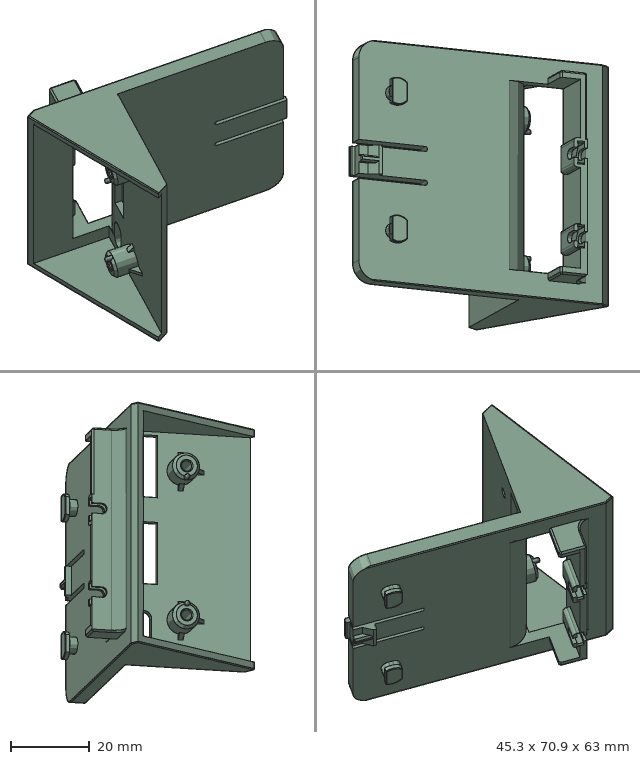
import cadquery as cq
import math

HEIGHT = 63.0
MID_Z = HEIGHT / 2
OVERALL_LENGTH = 70.9

CLEARANCE = 0.7

PLATE_THICKNESS = 4.0
PLATE_END_Y = 69.8
PLATE_CORNER_RADIUS = 4.95
EDGE_CHAMFER = 0.3

SLOPE_ANGLE = math.radians(30)
SLOPE_START_X = 1.3
SLOPE_END_X = 37.1
BACK_OUTER_Y = 23.8
BACK_INNER_Y = 21.9
SIDE_WALL = 2.9
CAP_THICKNESS = 2.0

WINDOW_MARGIN = 6.7
WINDOW_HEIGHT = HEIGHT - 2 * WINDOW_MARGIN
WINDOW_START_Y = 11.85
ENTRY_RADIUS = 6.0

HOOD_REACH = 8.2
HOOD_START_Y = 10.0
HOOD_END_Y = 17.4
HOOD_MARGIN = 4.8
HOOD_FILLET = 3.1
HOOD_CHAMFER = 0.5
TIP_CHAMFER_LENGTH = 17.45

NOTCHES = ((37.1, 7.8), (15.2, 6.45))
NOTCH_WIDTH = 2.7
NOTCH_DEPTH = 3.9
PAD_INNER_Y = 13.75
PAD_RADIUS = 1.05
NUT_WIDTH = 5.2
NUT_MOUTH_FLARE = 0.4
NUT_THICKNESS = 1.85
NUT_START_Y = 10.8

SLOT_X = 6.7
SLOT_WIDTH = 5.25
SLOT_HEIGHT = 16.2
SLOT_BOTTOMS = (43.9, 21.1)
OBLONG_CENTER = (8.4, 9.2)
OBLONG_WIDTH = 3.9
OBLONG_HEIGHT = 9.65

BOSS_X = 18.0
BOSS_MARGIN = 12.0
BOSS_RADIUS = 3.55
BOSS_HEIGHT = 6.45
BOSS_CHAMFER = 0.8
BOSS_BORE = 2.7
BORE_CHAMFER = 0.3
SHORT_RIB_REACH = 1.5
SHORT_RIB_WIDTH = 1.3
LONG_RIB_REACH = 2.55
LONG_RIB_WIDTH = 1.05
PIP_RADIUS = 0.65
PIP_LENGTH = 1.3
PIP_NOSE_RADIUS = 0.5

BUTTON_MARGIN = 13.5
STEM_CENTER_Y = 59.8
STEM_LENGTH = 5.1
STEM_WIDTH = 4.1
STEM_HEIGHT = 2.05
HEAD_CENTER_Y = 60.3
HEAD_RADIUS = 3.55
HEAD_FLAT_FRONT = 2.7
HEAD_FLAT_BACK = 1.7
HEAD_THICKNESS = 1.2
HEAD_CHAMFER = 0.2

LATCH_WIDTH = 7.6
SLIT_WIDTH = 1.3
SLIT_END_Y = 50.8
SLIT_END_RADIUS = 0.6
HOOK_START_Y = 64.0
HOOK_CREST = 0.85
HOOK_HEIGHT = 1.55
RAMP_END_Y = 67.35
LIP_X = 2.55
LATCH_RIB_WIDTH = 1.8
LATCH_RIB_CHAMFER = 0.5


def block(x0, x1, y0, y1, z0, z1):
    """Box given by its limits along each axis."""
    return cq.Workplane("XY").box(x1 - x0, y1 - y0, z1 - z0, centered=False).translate((x0, y0, z0))


def prism(points, z0, z1):
    """XY polygon raised from z0 to z1."""
    return cq.Workplane("XY").workplane(offset=z0).polyline(points).close().extrude(z1 - z0)


def make_body():
    """Side plate and wedge in one outline, hollowed from the sloping side."""
    corner_y = SLOPE_START_X / math.tan(SLOPE_ANGLE)
    slope_end_y = (SLOPE_END_X - SLOPE_START_X) * math.tan(SLOPE_ANGLE)
    back_end_x = SLOPE_END_X - (BACK_OUTER_Y - slope_end_y) * math.tan(SLOPE_ANGLE)
    outline = [
        (0, corner_y),
        (SLOPE_START_X, 0),
        (SLOPE_END_X, slope_end_y),
        (back_end_x, BACK_OUTER_Y),
        (PLATE_THICKNESS, BACK_OUTER_Y),
        (PLATE_THICKNESS, PLATE_END_Y),
        (0, PLATE_END_Y),
    ]
    body = prism(outline, 0, HEIGHT)

    outer_rims = cq.selectors.BoxSelector(
        (-CLEARANCE, -CLEARANCE, -CLEARANCE),
        (SLOPE_END_X - CLEARANCE, slope_end_y - CLEARANCE, HEIGHT + CLEARANCE),
    )
    plate_rims = cq.selectors.BoxSelector(
        (-CLEARANCE, BACK_OUTER_Y, -CLEARANCE),
        (CLEARANCE, PLATE_END_Y - CLEARANCE, HEIGHT + CLEARANCE),
    )
    body = body.edges("#Z").edges(outer_rims + plate_rims).chamfer(EDGE_CHAMFER)

    plate_corners = cq.selectors.BoxSelector(
        (0, PLATE_END_Y - CLEARANCE, -CLEARANCE),
        (PLATE_THICKNESS, PLATE_END_Y + CLEARANCE, HEIGHT + CLEARANCE),
    )
    body = body.edges("|X").edges(plate_corners).fillet(PLATE_CORNER_RADIUS)

    cavity = block(
        SIDE_WALL, SLOPE_END_X + CLEARANCE, -CLEARANCE, BACK_INNER_Y,
        CAP_THICKNESS, HEIGHT - CAP_THICKNESS,
    )
    return body.cut(cavity)


def make_hood():
    """Block with chamfered ends that blends into the plate with a concave fillet."""
    bottom = HOOD_MARGIN
    height = HEIGHT - 2 * HOOD_MARGIN
    hood = (
        cq.Workplane("XY")
        .workplane(offset=bottom)
        .moveTo(0, HOOD_END_Y)
        .lineTo(-HOOD_REACH, HOOD_END_Y)
        .lineTo(-HOOD_REACH, HOOD_START_Y)
        .lineTo(-HOOD_FILLET, HOOD_START_Y)
        .radiusArc((0, HOOD_START_Y - HOOD_FILLET), HOOD_FILLET)
        .lineTo(SIDE_WALL, HOOD_START_Y - HOOD_FILLET)
        .lineTo(SIDE_WALL, HOOD_END_Y)
        .close()
        .extrude(height)
        .edges("|Z and <X and >Y")
        .chamfer(HOOD_CHAMFER)
        .faces("<Z or >Z")
        .chamfer(HOOD_CHAMFER)
    )
    top = bottom + height
    tip_bevel = prism(
        [
            (-HOOD_REACH, HOOD_START_Y),
            (-HOOD_REACH + HOOD_CHAMFER, HOOD_START_Y),
            (-HOOD_REACH, HOOD_START_Y + HOOD_CHAMFER),
        ],
        top - TIP_CHAMFER_LENGTH,
        top,
    )
    return hood.cut(tip_bevel)


def make_window():
    """Opening through the hood and side wall, rounded where it meets the back wall."""
    entry_y = BACK_INNER_Y + ENTRY_RADIUS
    return (
        cq.Workplane("XY")
        .workplane(offset=WINDOW_MARGIN)
        .moveTo(-HOOD_REACH - CLEARANCE, WINDOW_START_Y)
        .lineTo(ENTRY_RADIUS, WINDOW_START_Y)
        .lineTo(ENTRY_RADIUS, BACK_INNER_Y)
        .radiusArc((0, entry_y), ENTRY_RADIUS)
        .lineTo(-HOOD_REACH - CLEARANCE, entry_y)
        .close()
        .extrude(WINDOW_HEIGHT)
    )


def make_pad(center_z, pad_height):
    """Thickening behind a screw notch, rounded along its inner edges."""
    pad = block(
        -HOOD_REACH, 0, HOOD_START_Y + HOOD_CHAMFER, PAD_INNER_Y,
        center_z - pad_height / 2, center_z + pad_height / 2,
    )
    return pad.edges("|X and >Y").fillet(PAD_RADIUS)


def make_notch(center_z):
    """Round-ended screw notch with a pointed slot that holds a hexagon nut."""
    notch_end_x = NOTCH_DEPTH - HOOD_REACH
    notch = (
        cq.Workplane("XZ", origin=(0, HOOD_START_Y - CLEARANCE, center_z))
        .center(notch_end_x - NOTCH_DEPTH, 0)
        .slot2D(2 * NOTCH_DEPTH, NOTCH_WIDTH)
        .extrude(-(PAD_INNER_Y - HOOD_START_Y + 2 * CLEARANCE))
    )
    nut_center_x = notch_end_x - NOTCH_WIDTH / 2
    half = NUT_WIDTH / 2
    shoulder_x = nut_center_x + half * math.tan(math.radians(30))
    point_x = nut_center_x + half / math.cos(math.radians(30))
    nut_slot = (
        cq.Workplane("XZ", origin=(0, NUT_START_Y, center_z))
        .polyline([
            (-HOOD_REACH, -half - NUT_MOUTH_FLARE),
            (-HOOD_REACH + NUT_MOUTH_FLARE, -half),
            (shoulder_x, -half),
            (point_x, 0),
            (shoulder_x, half),
            (-HOOD_REACH + NUT_MOUTH_FLARE, half),
            (-HOOD_REACH, half + NUT_MOUTH_FLARE),
        ])
        .close()
        .extrude(-NUT_THICKNESS)
    )
    return notch.union(nut_slot)


def make_back_openings():
    """Two rectangular slots and one oblong hole through the back wall."""
    y0 = BACK_INNER_Y - CLEARANCE
    y1 = BACK_OUTER_Y + CLEARANCE
    oblong_x, oblong_z = OBLONG_CENTER
    openings = (
        cq.Workplane("XZ", origin=(oblong_x, y0, oblong_z))
        .slot2D(OBLONG_HEIGHT, OBLONG_WIDTH, 90)
        .extrude(-(y1 - y0))
    )
    for bottom in SLOT_BOTTOMS:
        openings = openings.union(block(SLOT_X, SLOT_X + SLOT_WIDTH, y0, y1, bottom, bottom + SLOT_HEIGHT))
    return openings


def make_boss(center_z):
    """Screw boss with two short ribs, one long rib and a round-nosed pip towards mid-height."""
    tip_y = BACK_INNER_Y - BOSS_HEIGHT
    boss = (
        cq.Workplane("XZ", origin=(BOSS_X, BACK_OUTER_Y, center_z))
        .circle(BOSS_RADIUS)
        .extrude(BACK_OUTER_Y - tip_y)
        .faces("<Y")
        .chamfer(BOSS_CHAMFER)
    )
    ribs = ((0, LONG_RIB_REACH, LONG_RIB_WIDTH), (90, SHORT_RIB_REACH, SHORT_RIB_WIDTH),
            (-90, SHORT_RIB_REACH, SHORT_RIB_WIDTH))
    for angle, reach, width in ribs:
        rib = (
            cq.Workplane("XY")
            .polyline([
                (BOSS_RADIUS - CLEARANCE, 0),
                (BOSS_RADIUS + reach, 0),
                (BOSS_RADIUS, -reach),
                (BOSS_RADIUS - CLEARANCE, -reach),
            ])
            .close()
            .extrude(width / 2, both=True)
            .rotate((0, 0, 0), (0, 1, 0), angle)
            .translate((BOSS_X, BACK_INNER_Y, center_z))
        )
        boss = boss.union(rib)

    inward = math.copysign(1, MID_Z - center_z)
    pip_root_y = tip_y + BOSS_CHAMFER
    pip = (
        cq.Workplane("XZ", origin=(BOSS_X, pip_root_y, center_z + inward * (BOSS_RADIUS - PIP_RADIUS)))
        .circle(PIP_RADIUS)
        .extrude(BOSS_CHAMFER + PIP_LENGTH)
        .faces("<Y")
        .fillet(PIP_NOSE_RADIUS)
    )
    return boss.union(pip)


def make_bore(center_z):
    """Screw hole through a boss and the back wall, countersunk slightly at the boss tip."""
    mouth = (
        cq.Workplane("XZ", origin=(BOSS_X, BACK_INNER_Y - BOSS_HEIGHT, center_z))
        .circle(BOSS_BORE / 2 + BORE_CHAMFER)
        .extrude(-BORE_CHAMFER, taper=45)
    )
    bore = (
        cq.Workplane("XZ", origin=(BOSS_X, BACK_OUTER_Y + CLEARANCE, center_z))
        .circle(BOSS_BORE / 2)
        .extrude(BACK_OUTER_Y + CLEARANCE)
    )
    return bore.union(mouth)


def make_button(center_z):
    """Oblong stem carrying a round head with two flats."""
    stem = (
        cq.Workplane("YZ", origin=(0, STEM_CENTER_Y, center_z))
        .slot2D(STEM_LENGTH, STEM_WIDTH)
        .extrude(-STEM_HEIGHT)
    )
    head = (
        cq.Workplane("YZ", origin=(-STEM_HEIGHT, HEAD_CENTER_Y, center_z))
        .circle(HEAD_RADIUS)
        .extrude(-HEAD_THICKNESS)
    )
    flats = block(
        -STEM_HEIGHT - HEAD_THICKNESS, -STEM_HEIGHT,
        HEAD_CENTER_Y - HEAD_FLAT_FRONT, HEAD_CENTER_Y + HEAD_FLAT_BACK,
        center_z - HEAD_RADIUS, center_z + HEAD_RADIUS,
    )
    head = head.intersect(flats).faces("<X").chamfer(HEAD_CHAMFER)
    return stem.union(head)


def make_latch_gap():
    """Space cleared for the latch: the room for its free end and the two slits beside it."""
    half = LATCH_WIDTH / 2
    x0 = -CLEARANCE
    x1 = PLATE_THICKNESS + CLEARANCE
    y1 = PLATE_END_Y + CLEARANCE
    gap = block(x0, x1, HOOK_START_Y, y1, MID_Z - half, MID_Z + half)
    for z0 in (MID_Z - half - SLIT_WIDTH, MID_Z + half):
        slit = block(x0, x1, SLIT_END_Y, y1, z0, z0 + SLIT_WIDTH)
        gap = gap.union(slit.edges("|X and <Y").fillet(SLIT_END_RADIUS))
    return gap


def make_latch():
    """Free end of the latch: ramped hook, thin end lip and a bevelled stiffening rib."""
    half = LATCH_WIDTH / 2
    crest_end_y = HOOK_START_Y + HOOK_CREST
    profile = [
        (PLATE_THICKNESS, HOOK_START_Y),
        (-HOOK_HEIGHT, HOOK_START_Y),
        (-HOOK_HEIGHT, crest_end_y),
        (0, RAMP_END_Y),
        (0, PLATE_END_Y),
        (LIP_X, PLATE_END_Y),
        (LIP_X, OVERALL_LENGTH),
        (PLATE_THICKNESS, OVERALL_LENGTH),
    ]
    hook = prism(profile, MID_Z - half, MID_Z + half).faces(">Y").edges("|Z").chamfer(EDGE_CHAMFER)
    rib = block(
        -HOOK_HEIGHT, PLATE_THICKNESS, HOOK_START_Y, PLATE_END_Y,
        MID_Z - LATCH_RIB_WIDTH / 2, MID_Z + LATCH_RIB_WIDTH / 2,
    )
    rib = rib.faces("<X").edges("|Y").chamfer(LATCH_RIB_CHAMFER)
    rib = rib.edges("|Z and <X and >Y").chamfer(EDGE_CHAMFER)
    return hook.union(rib)


boss_heights = (BOSS_MARGIN, HEIGHT - BOSS_MARGIN)
button_heights = (BUTTON_MARGIN, HEIGHT - BUTTON_MARGIN)

result = make_body().union(make_hood())
result = result.cut(make_window())
for notch_z, notch_pad_height in NOTCHES:
    result = result.union(make_pad(notch_z, notch_pad_height)).cut(make_notch(notch_z))
result = result.cut(make_back_openings())
for boss_z in boss_heights:
    result = result.union(make_boss(boss_z)).cut(make_bore(boss_z))
for button_z in button_heights:
    result = result.union(make_button(button_z))
result = result.cut(make_latch_gap()).union(make_latch())